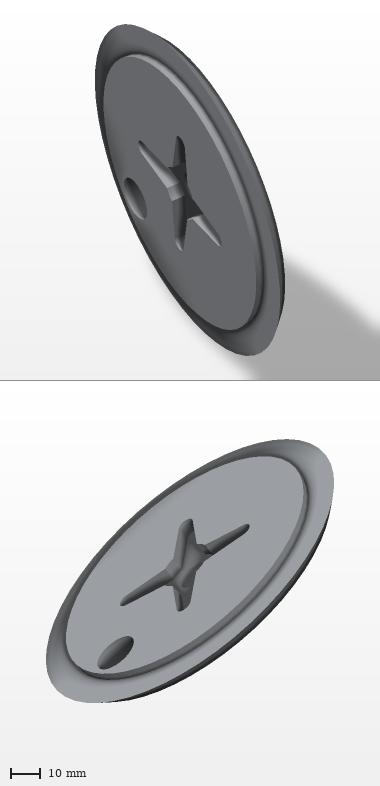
import cadquery as cq
import math

flange_radius = 60.0
flange_thickness = 5.0
bevel = 5.0
disc_radius = 49.5
disc_height = 3.0
front_y = -disc_height

pattern_turn = -1.0
recess_depth = 5.0
hub_radius = 9.6
arm_count = 4
arm_reach = 27.0
arm_tip_radius = 2.9
arm_taper = 7.2

seat_mouth_radius = 5.6
seat_floor_radius = 4.7
seat_depth = 1.0
pocket_radius = 2.8
pocket_depth = 0.1

hole_radius = 7.5
hole_distance = 40.0
hole_angle = 225.0 + pattern_turn


def plane_at(y):
    """Plane facing +Y, with local x along X and local y along -Z."""
    return cq.Workplane(cq.Plane((0, y, 0), xDir=(1, 0, 0), normal=(0, 1, 0)))


def cylinder(radius, y, length):
    return plane_at(y).circle(radius).extrude(length)


def cone(start_radius, end_radius, y, length):
    solid = cq.Solid.makeCone(start_radius, end_radius, length, cq.Vector(0, y, 0), cq.Vector(0, 1, 0))
    return cq.Workplane(solid)


def arm():
    """Tapered arm along +X whose sides run tangent into its round tip."""
    taper = math.radians(arm_taper)
    tip_centre = arm_reach - arm_tip_radius
    tangent_x = tip_centre + arm_tip_radius * math.sin(taper)
    tangent_z = arm_tip_radius * math.cos(taper)
    root_z = tangent_z + tangent_x * math.tan(taper)
    return (
        plane_at(front_y)
        .moveTo(0, -root_z)
        .lineTo(tangent_x, -tangent_z)
        .threePointArc((arm_reach, 0), (tangent_x, tangent_z))
        .lineTo(0, root_z)
        .close()
        .extrude(recess_depth)
    )


def turned(shape, angle):
    """Turn a shape about Y, counterclockwise as seen from -Y."""
    return shape.rotate((0, 0, 0), (0, -1, 0), angle)


def star_recess():
    recess = cylinder(hub_radius, front_y, recess_depth)
    for index in range(arm_count):
        recess = recess.union(turned(arm(), pattern_turn + index * 360 / arm_count))
    return recess


def seat():
    seat_y = front_y + recess_depth
    pocket = cylinder(pocket_radius, seat_y, seat_depth + pocket_depth)
    return cone(seat_mouth_radius, seat_floor_radius, seat_y, seat_depth).union(pocket)


def through_hole():
    drill = cylinder(hole_radius, front_y, disc_height + flange_thickness)
    return turned(drill.translate((hole_distance, 0, 0)), hole_angle)


flange = cone(flange_radius, flange_radius - bevel, 0, flange_thickness)
cover = flange.union(cylinder(disc_radius, front_y, disc_height))
result = cover.cut(star_recess()).cut(seat()).cut(through_hole())